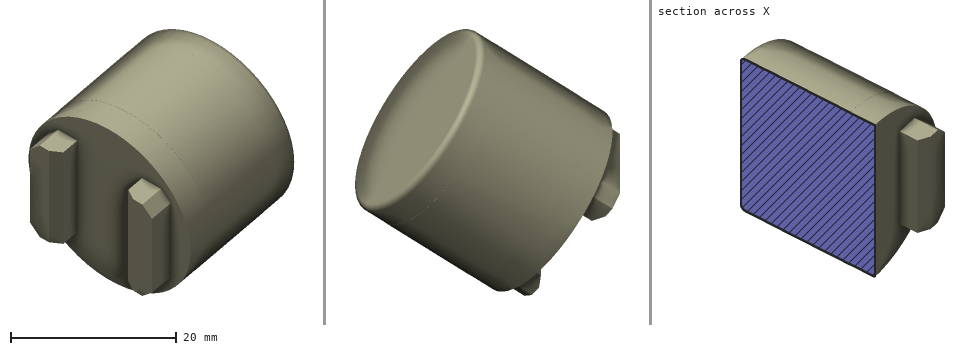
import cadquery as cq

band_diameter = 25.45
body_diameter = 25.4
overall_depth = 23.75
leg_height = 3.55
body_length = overall_depth - leg_height
band_start = 3.75
band_length = 12.72
back_fillet = 0.76

leg_outer_x = 9.55
leg_inner_x = 5.1
leg_length = 15.45
corner_chamfer = 1.5
tip_bevel_width = 1.53
tip_bevel_height = 0.9


def cylinder_along_y(diameter, start, length):
    """Cylinder on the Y axis from start towards +Y."""
    plane = cq.Workplane("XZ", origin=(0, start, 0))
    return plane.circle(diameter / 2).extrude(-length)


def make_body():
    core = cylinder_along_y(body_diameter, 0, body_length)
    core = core.faces(">Y").edges().fillet(back_fillet)
    return core.union(cylinder_along_y(band_diameter, band_start, band_length))


def make_leg():
    """Leg on the +X side: bevelled inner tip and chamfered outer corners."""
    profile = [
        (leg_inner_x, 0),
        (leg_outer_x, 0),
        (leg_outer_x, -leg_height),
        (leg_inner_x + tip_bevel_width, -leg_height),
        (leg_inner_x, -leg_height + tip_bevel_height),
    ]
    leg = cq.Workplane("XY").polyline(profile).close().extrude(leg_length / 2, both=True)
    return leg.edges("|Y and >X").chamfer(corner_chamfer)


right_leg = make_leg()
left_leg = right_leg.mirror("YZ")
result = make_body().union(right_leg).union(left_leg)